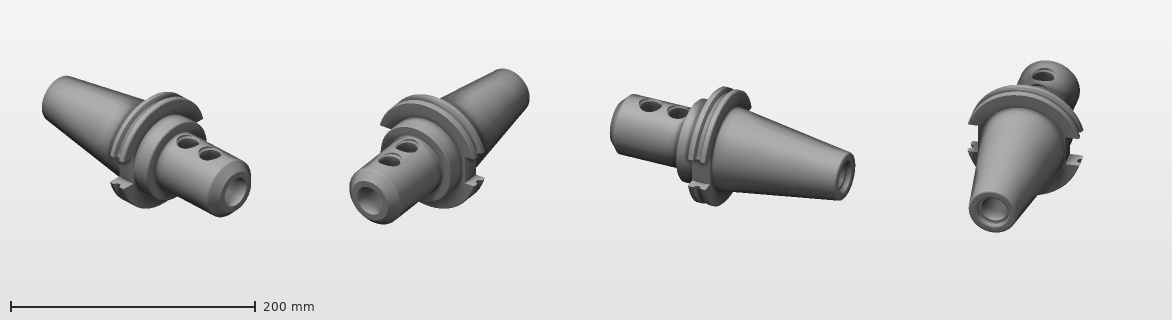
import cadquery as cq
import math

total_length = 203.2
gauge_plane_x = 101.8
collar_end_x = 136.5

taper_ratio = 7 / 24
gauge_diameter = 70.0
small_end_diameter = gauge_diameter - taper_ratio * gauge_plane_x
small_end_round = 2.0

flange_start_x = 104.9
flange_width = 15.9
flange_end_x = flange_start_x + flange_width
flange_diameter = 97.3
flange_chamfer = 0.8
flange_root_fillet = 0.8
groove_center_x = 112.5
groove_root_width = 3.3
groove_depth = 3.0
groove_half_angle = math.radians(30)
slot_width = 25.8
slot_floor_distances = {-1: 35.4, 1: 37.8}

collar_diameter = 70.1
collar_chamfer = 0.8
shank_diameter = 50.8
shank_root_fillet = 1.6
nose_chamfer = 7.3
nose_round = 1.6

through_diameter = 22.0
pilot_diameter = 26.6
pilot_depth = 3.5
pilot_mouth_diameter = 29.0
pilot_mouth_depth = 0.8
recess_diameter = 26.2
recess_depth = 5.0
tool_bore_diameter = 25.5
tool_bore_depth = 65.0

screw_hole_xs = (149.2, 174.4)
screw_hole_diameter = 17.3
screw_mouth_diameter = 20.0
screw_mouth_z = 23.5


def x_cylinder(start_x, end_x, diameter):
    """Cylinder on the X axis between two X positions."""
    return cq.Workplane("YZ", origin=(start_x, 0, 0)).circle(diameter / 2).extrude(end_x - start_x)


def make_taper():
    cone = (
        cq.Workplane("XY")
        .moveTo(0, 0)
        .lineTo(0, small_end_diameter / 2)
        .lineTo(gauge_plane_x, gauge_diameter / 2)
        .lineTo(flange_start_x, gauge_diameter / 2)
        .lineTo(flange_start_x, 0)
        .close()
        .revolve(360, (0, 0, 0), (1, 0, 0))
    )
    return cone.faces("<X").edges().fillet(small_end_round)


def make_groove_cutter():
    top_radius = flange_diameter / 2
    root_radius = top_radius - groove_depth
    half_root = groove_root_width / 2
    half_top = half_root + groove_depth * math.tan(groove_half_angle)
    return (
        cq.Workplane("XY")
        .moveTo(groove_center_x - half_root, root_radius)
        .lineTo(groove_center_x + half_root, root_radius)
        .lineTo(groove_center_x + half_top, top_radius)
        .lineTo(groove_center_x - half_top, top_radius)
        .close()
        .revolve(360, (0, 0, 0), (1, 0, 0))
    )


def make_flange():
    flange = x_cylinder(flange_start_x, flange_end_x, flange_diameter)
    return flange.edges().chamfer(flange_chamfer).cut(make_groove_cutter())


def make_collar():
    collar = x_cylinder(flange_end_x, collar_end_x, collar_diameter)
    return collar.faces(">X").edges().chamfer(collar_chamfer)


def make_shank():
    shank = x_cylinder(collar_end_x, total_length, shank_diameter)
    shank = shank.faces(">X").edges().chamfer(nose_chamfer)
    nose_x = total_length - nose_chamfer
    shoulder = cq.selectors.BoxSelector(
        (nose_x - nose_round, -shank_diameter, -shank_diameter),
        (nose_x + nose_round, shank_diameter, shank_diameter),
        boundingbox=True,
    )
    return shank.edges(shoulder).fillet(nose_round)


def make_root_fillet(face_x, direction, shaft_diameter, radius):
    """Concave ring between a shaft and a flat face; direction points away from the face along X."""
    shaft_radius = shaft_diameter / 2
    bulge = radius * (1 - math.sqrt(0.5))
    return (
        cq.Workplane("XY")
        .moveTo(face_x, shaft_radius)
        .lineTo(face_x, shaft_radius + radius)
        .threePointArc(
            (face_x + direction * bulge, shaft_radius + bulge),
            (face_x + direction * radius, shaft_radius),
        )
        .close()
        .revolve(360, (0, 0, 0), (1, 0, 0))
    )


def make_drive_slots():
    slots = cq.Workplane("XY")
    for side, floor_distance in slot_floor_distances.items():
        slot_height = flange_diameter / 2 - floor_distance
        slot = cq.Workplane("XY").box(flange_width, slot_height, slot_width)
        slot_center = (flange_start_x + flange_width / 2, side * (floor_distance + slot_height / 2), 0)
        slots = slots.add(slot.translate(slot_center))
    return slots.combine()


def make_axial_bores():
    mouth = (
        cq.Workplane("XY")
        .moveTo(0, 0)
        .lineTo(0, pilot_mouth_diameter / 2)
        .lineTo(pilot_mouth_depth, pilot_diameter / 2)
        .lineTo(pilot_depth, pilot_diameter / 2)
        .lineTo(pilot_depth, recess_diameter / 2)
        .lineTo(recess_depth, recess_diameter / 2)
        .lineTo(recess_depth, 0)
        .close()
        .revolve(360, (0, 0, 0), (1, 0, 0))
    )
    through = x_cylinder(0, total_length, through_diameter)
    tool_bore = x_cylinder(total_length - tool_bore_depth, total_length, tool_bore_diameter)
    return mouth.union(through).union(tool_bore)


def make_screw_hole(x):
    """Hole from the axis up through the top of the shank, with a conical mouth."""
    shank_radius = shank_diameter / 2
    mouth_radius = screw_mouth_diameter / 2
    hole_radius = screw_hole_diameter / 2
    throat_z = screw_mouth_z - (mouth_radius - hole_radius)
    profile = (
        cq.Workplane("XZ")
        .moveTo(x, 0)
        .lineTo(x + hole_radius, 0)
        .lineTo(x + hole_radius, throat_z)
        .lineTo(x + mouth_radius, screw_mouth_z)
        .lineTo(x + mouth_radius, shank_radius)
        .lineTo(x, shank_radius)
        .close()
    )
    return profile.revolve(360, (x, 0, 0), (x, 1, 0))


body = make_taper().union(make_flange()).union(make_collar()).union(make_shank())
body = body.union(make_root_fillet(flange_start_x, -1, gauge_diameter, flange_root_fillet))
body = body.union(make_root_fillet(collar_end_x, 1, shank_diameter, shank_root_fillet))
body = body.cut(make_drive_slots()).cut(make_axial_bores())
for hole_x in screw_hole_xs:
    body = body.cut(make_screw_hole(hole_x))

result = body